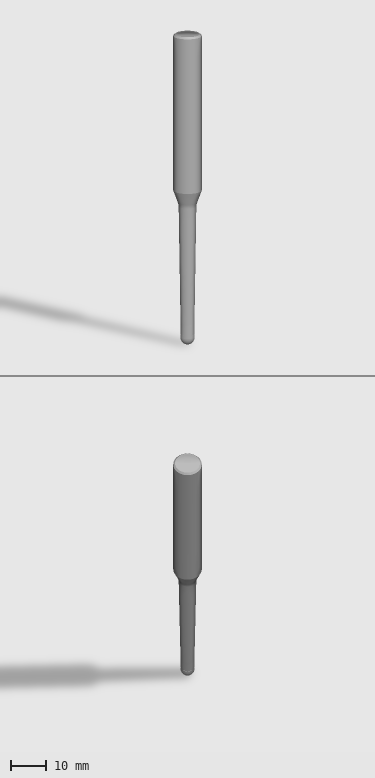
import cadquery as cq
import math

total_length = 90.0

ball_radius = 2.0
cutting_length = 3.0

relief_radius = 1.95
relief_top = 6.0
neck_taper = math.radians(0.9)
neck_top = 40.0
blend_radius = 3.0
shoulder_angle = math.radians(20.0)
shank_radius = 4.0
shank_chamfer = 0.5

profile_plane = cq.Plane(origin=(0, 0, 0), xDir=(0, -1, 0), normal=(-1, 0, 0))


def turn(profile):
    """Revolve a closed profile a full turn about the tool axis."""
    return profile.revolve(360, (0, 0, 0), (0, 1, 0))


def make_cutting_head():
    """Half-ball tip with a short cylinder above it."""
    arc_middle = ball_radius * math.sin(math.radians(45))
    profile = (
        cq.Workplane(profile_plane)
        .moveTo(0, 0)
        .threePointArc((arc_middle, ball_radius - arc_middle), (ball_radius, ball_radius))
        .lineTo(ball_radius, cutting_length)
        .lineTo(0, cutting_length)
        .close()
    )
    return turn(profile)


def make_holder():
    """Relieved cylinder, neck and shank as one turned solid, seated on the cutting head."""
    neck_top_radius = relief_radius + (neck_top - relief_top) * math.tan(neck_taper)

    blend_center_radius = neck_top_radius + blend_radius * math.cos(neck_taper)
    blend_center_height = neck_top - blend_radius * math.sin(neck_taper)

    def blend_point(angle):
        """Point of the blend where its surface leans outward by the given angle."""
        return (
            blend_center_radius - blend_radius * math.cos(angle),
            blend_center_height + blend_radius * math.sin(angle),
        )

    blend_middle = blend_point((neck_taper + shoulder_angle) / 2)
    cone_bottom_radius, cone_bottom = blend_point(shoulder_angle)
    shank_bottom = cone_bottom + (shank_radius - cone_bottom_radius) / math.tan(shoulder_angle)

    profile = (
        cq.Workplane(profile_plane)
        .moveTo(0, cutting_length)
        .lineTo(relief_radius, cutting_length)
        .lineTo(relief_radius, relief_top)
        .lineTo(neck_top_radius, neck_top)
        .threePointArc(blend_middle, (cone_bottom_radius, cone_bottom))
        .lineTo(shank_radius, shank_bottom)
        .lineTo(shank_radius, total_length - shank_chamfer)
        .lineTo(shank_radius - shank_chamfer, total_length)
        .lineTo(0, total_length)
        .close()
    )
    return turn(profile)


cutting_head = make_cutting_head()
holder = make_holder()

result = cq.Compound.makeCompound([cutting_head.val(), holder.val()])